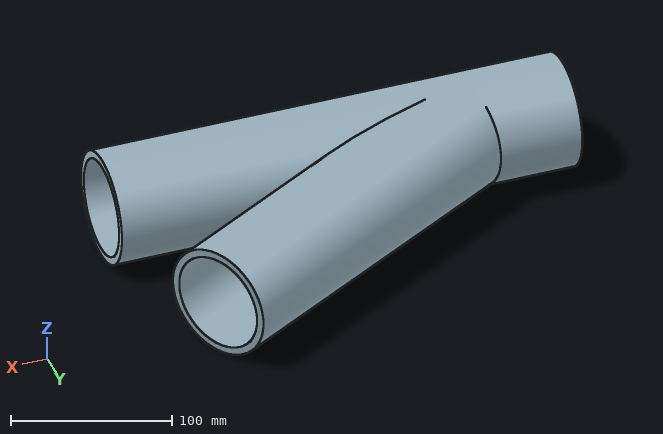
import cadquery as cq

outer_diameter = 73.0
bore_diameter = 62.8

main_length = 304.8
branch_length = 240.8
branch_angle = 30.0
junction_x = 63.7


def main_cylinder(diameter):
    """Cylinder along X over the full length of the main pipe."""
    return cq.Workplane("YZ").circle(diameter / 2).extrude(main_length)


def branch_cylinder(diameter):
    """Cylinder leaving the junction toward +X and +Y."""
    return (
        cq.Workplane("YZ")
        .circle(diameter / 2)
        .extrude(branch_length)
        .rotate((0, 0, 0), (0, 0, 1), branch_angle)
        .translate((junction_x, 0, 0))
    )


outside = main_cylinder(outer_diameter).union(branch_cylinder(outer_diameter))
bores = main_cylinder(bore_diameter).union(branch_cylinder(bore_diameter))
result = outside.cut(bores)